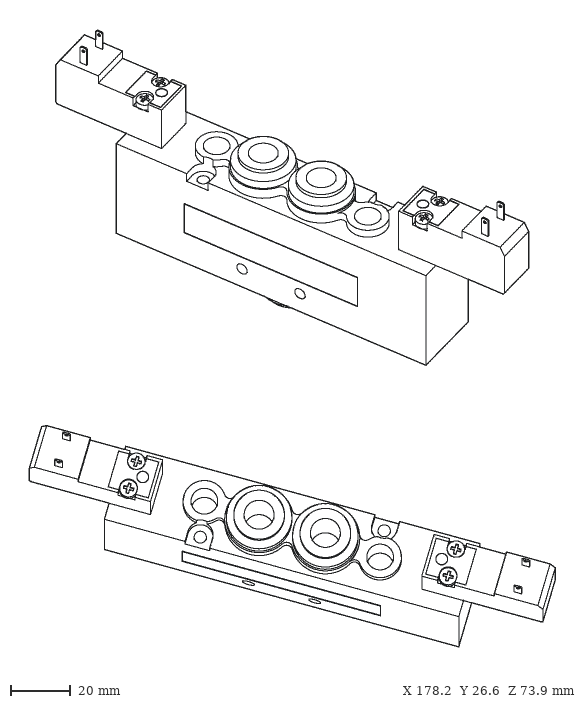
import cadquery as cq
import math

HOUSING_LENGTH = 123.0
HOUSING_WIDTH = 26.2
HOUSING_HEIGHT = 40.0

LABEL_LENGTH = 68.8
LABEL_HEIGHT = 12.8
LABEL_THICKNESS = 0.2
LABEL_CENTER_Z = 19.8

PORT_BASE_DIAMETER = 23.0
PORT_BASE_HEIGHT = 4.0
PORT_X = PORT_BASE_DIAMETER / 2
PORT_BORE_DIAMETER = 10.0
PORT_BORE_DEPTH = 8.9

FITTING_DISC_DIAMETER = 22.0
FITTING_NECK_DIAMETER = 11.0
FITTING_FLANGE_DIAMETER = 17.0
FITTING_DISC_TOP = 3.0
FITTING_NECK_TOP = 4.6
FITTING_HEIGHT = 6.0

EXHAUST_X = 30.8
EXHAUST_Y = 1.2
EXHAUST_RING_DIAMETER = 14.3
EXHAUST_RING_HEIGHT = 3.0
EXHAUST_BORE_DIAMETER = 8.9
EXHAUST_BORE_DEPTH = 8.9
WEB_FILLET_RADIUS = 2.0
WEB_FILLET_DIAMETER = 2 * WEB_FILLET_RADIUS

MOUNT_HOLE_DIAMETER = 4.1
MOUNT_X = 29.2
MOUNT_Y = 9.5
MOUNT_RECESS_WIDTH = 8.5
MOUNT_RECESS_DEPTH = 3.4
SIDE_HOLE_Z = 8.0

PILOT_GAP = 0.5
PILOT_BOTTOM = HOUSING_HEIGHT + PILOT_GAP
PILOT_LOW_TOP = PILOT_BOTTOM + 17.1
PILOT_HIGH_TOP = PILOT_BOTTOM + 20.3
PILOT_INNER_X = 47.0
PILOT_STEP_X = 72.2
PILOT_OUTER_X = 89.1
PILOT_WIDTH = 15.0
TOP_CHAMFER_LENGTH = 1.8
TOP_CHAMFER_HEIGHT = 3.2
BOTTOM_CHAMFER_LENGTH = 0.52
BOTTOM_CHAMFER_HEIGHT = 0.75

PANEL_INNER_X = 48.1
PANEL_OUTER_X = 62.0
PANEL_WIDTH = 12.8
PANEL_DEPTH = 0.2
OVERRIDE_X = 51.9
OVERRIDE_DIAMETER = 4.0

HEAD_X = 55.5
HEAD_Y = 4.8
HEAD_DIAMETER = 5.9
HEAD_HEIGHT = 2.1
HEAD_DOME_HEIGHT = 0.7
HEAD_SINK = 0.5
HEAD_CROWN_Z = PILOT_LOW_TOP - HEAD_SINK
HEAD_SEAT_Z = HEAD_CROWN_Z - HEAD_HEIGHT - HEAD_DOME_HEIGHT
CROSS_LENGTH = 3.4
CROSS_WIDTH = 0.9
CROSS_DEPTH = 1.0

BLADE_X = 79.7
BLADE_Y = 4.8
BLADE_WIDTH = 2.7
BLADE_THICKNESS = 0.5
BLADE_HEIGHT = 7.1
BLADE_CHAMFER = 0.5
BLADE_HOLE_DIAMETER = 1.0
BLADE_HOLE_DROP = 1.51

SIDES = (-1, 1)


def cylinder(x, y, z, diameter, height):
    """Upright cylinder standing on the point (x, y, z)."""
    return cq.Workplane("XY", origin=(x, y, z)).circle(diameter / 2).extrude(height)


def block(x, y, z, length, width, height):
    """Box centred on x and y, standing on z."""
    return cq.Workplane("XY", origin=(x, y, z)).rect(length, width).extrude(height)


def cross_bore(x, z, diameter, length):
    """Cylinder along Y, centred on Y = 0."""
    return cq.Workplane("XZ", origin=(x, 0, z)).circle(diameter / 2).extrude(length / 2, both=True)


def boss_web(center_a, diameter_a, center_b, diameter_b, height):
    """Web between two round bosses on the housing top, with concave sides tangent to both."""
    reach_a = diameter_a / 2 + WEB_FILLET_RADIUS
    reach_b = diameter_b / 2 + WEB_FILLET_RADIUS
    dx = center_b[0] - center_a[0]
    dy = center_b[1] - center_a[1]
    distance = math.hypot(dx, dy)
    along = (distance**2 + reach_a**2 - reach_b**2) / (2 * distance)
    across = math.sqrt(reach_a**2 - along**2)
    fillet_centers = [
        (
            center_a[0] + (along * dx - side * across * dy) / distance,
            center_a[1] + (along * dy + side * across * dx) / distance,
        )
        for side in SIDES
    ]
    outline = [center_a, fillet_centers[0], center_b, fillet_centers[1]]
    web = cq.Workplane("XY", origin=(0, 0, HOUSING_HEIGHT)).polyline(outline).close().extrude(height)
    for x, y in fillet_centers:
        web = web.cut(cylinder(x, y, HOUSING_HEIGHT, WEB_FILLET_DIAMETER, height))
    return web


def make_fitting():
    """Solid push-in fitting that stands on Z = 0, without its bore."""
    neck_height = FITTING_NECK_TOP - FITTING_DISC_TOP
    flange_height = FITTING_HEIGHT - FITTING_NECK_TOP
    disc = cylinder(0, 0, 0, FITTING_DISC_DIAMETER, FITTING_DISC_TOP)
    neck = cylinder(0, 0, FITTING_DISC_TOP, FITTING_NECK_DIAMETER, neck_height)
    flange = cylinder(0, 0, FITTING_NECK_TOP, FITTING_FLANGE_DIAMETER, flange_height)
    return disc.union(neck).union(flange)


def add_working_ports(body):
    """Two joined ports on top and one port in the middle of the bottom, each with a fitting."""
    centers = [(side * PORT_X, 0) for side in SIDES]
    body = body.union(
        boss_web(centers[0], PORT_BASE_DIAMETER, centers[1], PORT_BASE_DIAMETER, PORT_BASE_HEIGHT)
    )
    seat = HOUSING_HEIGHT + PORT_BASE_HEIGHT
    for x, y in centers:
        body = body.union(cylinder(x, y, HOUSING_HEIGHT, PORT_BASE_DIAMETER, PORT_BASE_HEIGHT))
        body = body.union(make_fitting().translate((x, y, seat)))
    return body.union(make_fitting().rotate((0, 0, 0), (1, 0, 0), 180))


def cut_working_bores(body):
    """Blind bores through the three fittings into the housing."""
    top_bore_length = PORT_BORE_DEPTH + PORT_BASE_HEIGHT + FITTING_HEIGHT
    for side in SIDES:
        body = body.cut(
            cylinder(side * PORT_X, 0, HOUSING_HEIGHT - PORT_BORE_DEPTH, PORT_BORE_DIAMETER, top_bore_length)
        )
    bottom_bore_length = PORT_BORE_DEPTH + FITTING_HEIGHT
    return body.cut(cylinder(0, 0, -FITTING_HEIGHT, PORT_BORE_DIAMETER, bottom_bore_length))


def add_exhaust_port(body, side):
    """Ringed exhaust port, tied by a web to the working port next to it."""
    center = (side * EXHAUST_X, -side * EXHAUST_Y)
    port = (side * PORT_X, 0)
    body = body.union(cylinder(*center, HOUSING_HEIGHT, EXHAUST_RING_DIAMETER, EXHAUST_RING_HEIGHT))
    body = body.union(
        boss_web(port, PORT_BASE_DIAMETER, center, EXHAUST_RING_DIAMETER, EXHAUST_RING_HEIGHT)
    )
    bore_length = EXHAUST_BORE_DEPTH + EXHAUST_RING_HEIGHT
    bore_floor = HOUSING_HEIGHT - EXHAUST_BORE_DEPTH
    bore = cylinder(*center, bore_floor, EXHAUST_BORE_DIAMETER, bore_length)
    return body.cut(bore)


def cut_mounting_hole(body, side):
    """Vertical through hole in a round-ended recess that opens to the side face."""
    x = side * MOUNT_X
    y = side * MOUNT_Y
    floor = HOUSING_HEIGHT - MOUNT_RECESS_DEPTH
    height = MOUNT_RECESS_DEPTH + EXHAUST_RING_HEIGHT
    to_side = HOUSING_WIDTH / 2 - MOUNT_Y
    body = body.cut(cylinder(x, y, floor, MOUNT_RECESS_WIDTH, height))
    body = body.cut(block(x, y + side * to_side / 2, floor, MOUNT_RECESS_WIDTH, to_side, height))
    return body.cut(cylinder(x, y, 0, MOUNT_HOLE_DIAMETER, HOUSING_HEIGHT))


def make_housing():
    body = block(0, 0, 0, HOUSING_LENGTH, HOUSING_WIDTH, HOUSING_HEIGHT)
    body = add_working_ports(body)
    for side in SIDES:
        body = add_exhaust_port(body, side)
        body = cut_mounting_hole(body, side)
        body = body.cut(cross_bore(side * PORT_X, SIDE_HOLE_Z, MOUNT_HOLE_DIAMETER, HOUSING_WIDTH))
    return cut_working_bores(body)


def make_label(side):
    """Thin plate on one long side face of the housing."""
    y = side * (HOUSING_WIDTH + LABEL_THICKNESS) / 2
    bottom = LABEL_CENTER_Z - LABEL_HEIGHT / 2
    return block(0, y, bottom, LABEL_LENGTH, LABEL_THICKNESS, LABEL_HEIGHT)


def make_pilot_body():
    """Stepped block with a chamfered outer end."""
    outline = [
        (PILOT_INNER_X, PILOT_BOTTOM),
        (PILOT_OUTER_X - BOTTOM_CHAMFER_LENGTH, PILOT_BOTTOM),
        (PILOT_OUTER_X, PILOT_BOTTOM + BOTTOM_CHAMFER_HEIGHT),
        (PILOT_OUTER_X, PILOT_HIGH_TOP - TOP_CHAMFER_HEIGHT),
        (PILOT_OUTER_X - TOP_CHAMFER_LENGTH, PILOT_HIGH_TOP),
        (PILOT_STEP_X, PILOT_HIGH_TOP),
        (PILOT_STEP_X, PILOT_LOW_TOP),
        (PILOT_INNER_X, PILOT_LOW_TOP),
    ]
    return cq.Workplane("XZ").polyline(outline).close().extrude(PILOT_WIDTH / 2, both=True)


def add_panel(body):
    """Shallow rectangular recess with the override button standing in it."""
    x = (PANEL_INNER_X + PANEL_OUTER_X) / 2
    floor = PILOT_LOW_TOP - PANEL_DEPTH
    body = body.cut(block(x, 0, floor, PANEL_OUTER_X - PANEL_INNER_X, PANEL_WIDTH, PANEL_DEPTH))
    return body.union(cylinder(OVERRIDE_X, 0, floor, OVERRIDE_DIAMETER, PANEL_DEPTH))


def make_screw_head(y):
    """Domed head with a cross recess."""
    radius = HEAD_DIAMETER / 2
    dome_radius = (radius**2 + HEAD_DOME_HEIGHT**2) / (2 * HEAD_DOME_HEIGHT)
    head = cylinder(HEAD_X, y, HEAD_SEAT_Z, HEAD_DIAMETER, HEAD_HEIGHT + HEAD_DOME_HEIGHT)
    head = head.intersect(
        cq.Workplane("XY", origin=(HEAD_X, y, HEAD_CROWN_Z - dome_radius)).sphere(dome_radius)
    )
    floor = HEAD_CROWN_Z - CROSS_DEPTH
    head = head.cut(block(HEAD_X, y, floor, CROSS_LENGTH, CROSS_WIDTH, CROSS_DEPTH))
    return head.cut(block(HEAD_X, y, floor, CROSS_WIDTH, CROSS_LENGTH, CROSS_DEPTH))


def add_screw(body, side):
    """Screw head in a pocket that is open to the side face, which the head juts past."""
    y = side * HEAD_Y
    depth = PILOT_LOW_TOP - HEAD_SEAT_Z
    to_side = PILOT_WIDTH / 2 - HEAD_Y
    body = body.cut(cylinder(HEAD_X, y, HEAD_SEAT_Z, HEAD_DIAMETER, depth))
    body = body.cut(block(HEAD_X, y + side * to_side / 2, HEAD_SEAT_Z, HEAD_DIAMETER, to_side, depth))
    return body.union(make_screw_head(y))


def make_blade(side):
    """Flat contact blade with chamfered top corners and a small cross hole."""
    blade = block(BLADE_X, 0, PILOT_HIGH_TOP, BLADE_WIDTH, BLADE_THICKNESS, BLADE_HEIGHT)
    blade = blade.edges("|Y and >Z").chamfer(BLADE_CHAMFER)
    hole_z = PILOT_HIGH_TOP + BLADE_HEIGHT - BLADE_HOLE_DROP
    blade = blade.cut(cross_bore(BLADE_X, hole_z, BLADE_HOLE_DIAMETER, BLADE_THICKNESS))
    return blade.translate((0, side * BLADE_Y, 0))


def make_pilot(turn):
    """Pilot valve at the +X end, turned about the Z axis by the given angle."""
    body = add_panel(make_pilot_body())
    for side in SIDES:
        body = add_screw(body, side)
        body = body.union(make_blade(side))
    return body.rotate((0, 0, 0), (0, 0, 1), turn)


housing = make_housing()
labels = [make_label(side) for side in SIDES]
pilots = [make_pilot(turn) for turn in (0, 180)]

result = cq.Compound.makeCompound([body.val() for body in [housing, *labels, *pilots]])